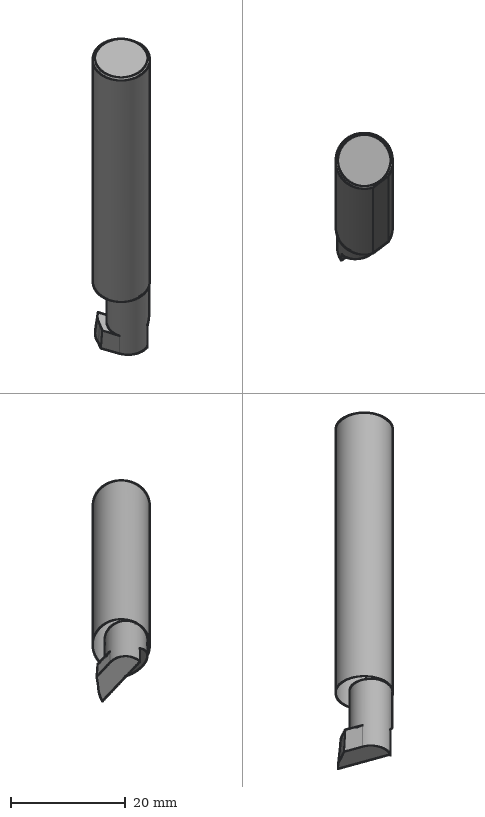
import cadquery as cq

total_length = 72.0
shank_radius = 5.005
flat_distance = 4.715
shoulder_height = 15.0
chamfer_radial = 0.4
chamfer_axial = 0.35

neck_radius = 3.75
neck_center_x = shank_radius - neck_radius
relief_start_height = 5.75

head_height = 5.2
tip_taper = 0.6
flank_taper = 0.4
side_taper = 0.3
tip_x = -shank_radius
flank_x, flank_y = -4.3, -1.4
heel_x, heel_y = -3.3, -2.5
corner_x = -2.3

end_rise_x = 0.35
end_rise_y = 0.35
relief_block_width = 4 * shank_radius


def make_shank():
    """Chamfered bar with a flat along its full length."""
    profile = [
        (0, shoulder_height),
        (shank_radius, shoulder_height),
        (shank_radius, total_length - chamfer_axial),
        (shank_radius - chamfer_radial, total_length),
        (0, total_length),
    ]
    bar = cq.Workplane("XZ").polyline(profile).close().revolve(360, (0, 0), (0, 1))
    behind_flat = cq.Workplane("XY").box(
        2 * shank_radius, shank_radius, total_length, centered=(True, False, False)
    )
    return bar.cut(behind_flat.translate((0, flat_distance, 0)))


def make_neck():
    """Round neck whose +Y half is removed at the end, with a 45 degree run-out."""
    bar = cq.Workplane("XY").center(neck_center_x, 0).circle(neck_radius).extrude(shoulder_height)
    relief = (
        cq.Workplane("YZ")
        .polyline([
            (0, 0),
            (0, relief_start_height),
            (neck_radius, relief_start_height + neck_radius),
            (neck_radius, 0),
        ])
        .close()
        .extrude(shank_radius, both=True)
    )
    return bar.cut(relief)


def head_outline(workplane, tip_inset, flank_inset, side_inset):
    """Head section with an arced flank behind the tip, its -X side moved inwards by the insets."""
    return (
        workplane.moveTo(tip_x + tip_inset, 0)
        .threePointArc(
            (flank_x + flank_inset, flank_y),
            (heel_x + side_inset, heel_y),
        )
        .lineTo(corner_x + side_inset, -neck_radius)
        .lineTo(neck_center_x, -neck_radius)
        .lineTo(neck_center_x, 0)
        .close()
    )


def make_head():
    """Tapered block carrying the cutting tip."""
    bottom = head_outline(cq.Workplane("XY"), 0, 0, 0)
    top = head_outline(bottom.workplane(offset=head_height), tip_taper, flank_taper, side_taper)
    return top.loft(ruled=True)


def make_end_relief():
    """Block whose top is the sloping end plane, which touches Z = 0 only at the tip."""
    along_x = cq.Vector(2 * shank_radius, 0, end_rise_x)
    along_y = cq.Vector(0, -neck_radius, end_rise_y)
    end_plane = cq.Plane(origin=(tip_x, 0, 0), xDir=along_x, normal=along_y.cross(along_x))
    return cq.Workplane(end_plane).rect(relief_block_width, relief_block_width).extrude(-head_height)


result = make_shank().union(make_neck()).union(make_head()).cut(make_end_relief())